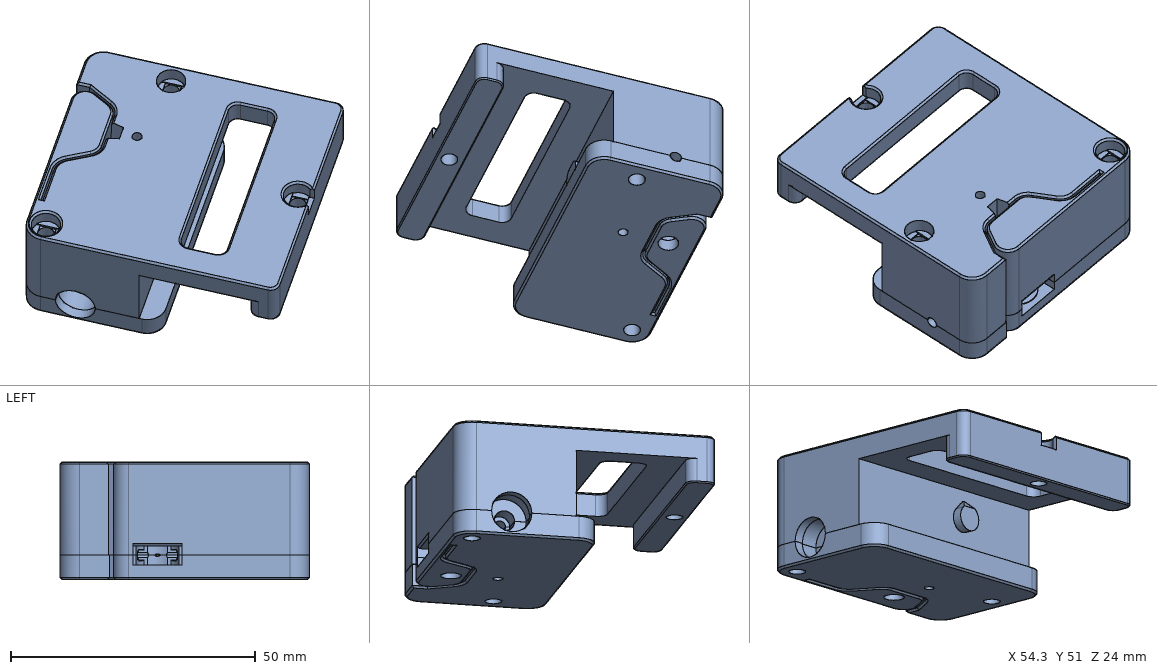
import cadquery as cq
import math

length = 54.3
width = 51.0
height = 24.0
base_height = 5.0
base_length = 29.55
body_length = 25.0
left_radius = 4.0
right_radius = 2.0
edge_chamfer = 0.45

deck_thickness = 5.0
rail_width = 6.05
rail_bottom = 13.9
rail_chamfer = 0.25

window_x = (31.65, 41.45)
window_y = (6.05, 45.05)
window_radius = 2.0

screw_hole_diameter = 3.4
screw_head_diameter = 6.0
screw_head_depth = 3.0
bridge_step = 0.2
rear_screw = (18.4, 46.9)
corner_screw = (left_radius, left_radius)
rail_screw = (51.4, width / 2)
rail_screw_mouth = 4.45

slit_width = 0.45
slit_end_y = 10.05
arm_thickness = 1.25
finger_reach = 9.3
finger_tip_radius = 3.0
finger_center_y = 31.05
finger_tip_center_y = 37.05
flank_angle = math.radians(30)
pad_radius = 3.0
arm_root_radius = 4.0
arm_root_y = 20.6
base_mouth_y = 40.9
housing_mouth_y = 41.1

channel_x = 11.4
channel_diameter = 2.4
tube_diameter = 4.2
tube_depth = 10.85
fitting_lip_diameter = 8.4
fitting_lip_depth = 2.15
fitting_diameter = 9.0
fitting_depth = 6.5

pocket_width = 10.05
pocket_depth = 3.1
pocket_bottom = 3.0
pocket_top = 7.35
pocket_lead = 0.45
bore_x = 5.85
bore_diameter = 8.75
bore_recess = 0.2
floor_hole_diameter = 4.2
groove_x = 8.65
groove_length = 8.15

notch_floor_z = 13.4
notch_end_x = 12.4
notch_floor_end_x = 12.1
notch_top_half_widths = (2.2, 1.45)
notch_floor_half_widths = (0.3, 1.1)
pin_hole_x = 15.7
pin_hole_diameter = 2.0
boss_radius = 2.7
boss_length = 2.0
boss_bottom = 10.0
boss_tip_top = 14.95


def rounded_prism(corners, bottom, top):
    """Vertical prism over a polygon; each corner is (x, y, radius)."""
    count = len(corners)
    starts = []
    middles = []
    ends = []
    for i, (x, y, radius) in enumerate(corners):
        corner = cq.Vector(x, y)
        to_last = (cq.Vector(*corners[i - 1][:2]) - corner).normalized()
        to_next = (cq.Vector(*corners[(i + 1) % count][:2]) - corner).normalized()
        half_angle = to_last.getAngle(to_next) / 2
        setback = radius / math.tan(half_angle)
        bisector = (to_last + to_next).normalized()
        starts.append(corner + to_last * setback)
        middles.append(corner + bisector * (radius / math.sin(half_angle) - radius))
        ends.append(corner + to_next * setback)
    outline = cq.Workplane("XY", origin=(0, 0, bottom)).moveTo(ends[0].x, ends[0].y)
    for i in [*range(1, count), 0]:
        outline = outline.lineTo(starts[i].x, starts[i].y)
        if corners[i][2] > 0:
            outline = outline.threePointArc((middles[i].x, middles[i].y), (ends[i].x, ends[i].y))
    return outline.close().extrude(top - bottom)


def rectangle_corners(x_range, y_range, left, right):
    """Corners of a rectangle with one radius on its left side and one on its right."""
    (x0, x1), (y0, y1) = x_range, y_range
    return [(x0, y0, left), (x1, y0, right), (x1, y1, right), (x0, y1, left)]


def cylinder(plane, center, diameter, depth):
    return cq.Workplane(plane, origin=center).circle(diameter / 2).extrude(depth)


def slit(mouth_edge):
    """Gap that frees the finger from the wall, through the full height; its mouth ends at mouth_edge."""
    slope = math.tan(flank_angle)
    tip_line = finger_tip_center_y + finger_tip_radius * (slope + 1 / math.cos(flank_angle))

    def upper_flank(x, gap):
        return tip_line + gap / math.cos(flank_angle) - x * slope

    def lower_flank(x, gap):
        return arm_root_y + (x - arm_thickness) * slope - gap / math.cos(flank_angle)

    wall_reach = finger_reach + slit_width
    arm_wall = arm_thickness + slit_width
    mouth_x = (upper_flank(0, slit_width) - mouth_edge) / slope
    opening = [
        (-slit_width, slit_end_y, 0),
        (arm_wall, slit_end_y, 0),
        (arm_wall, lower_flank(arm_wall, slit_width), arm_root_radius - slit_width),
        (wall_reach, lower_flank(wall_reach, slit_width), pad_radius + slit_width),
        (wall_reach, upper_flank(wall_reach, slit_width), pad_radius + slit_width),
        (mouth_x, mouth_edge, 0),
        (-slit_width, mouth_edge, 0),
    ]
    finger = [
        (0, 0, 0),
        (arm_thickness, 0, 0),
        (arm_thickness, arm_root_y, arm_root_radius),
        (finger_reach, lower_flank(finger_reach, 0), pad_radius),
        (finger_reach, upper_flank(finger_reach, 0), pad_radius),
        (0, upper_flank(0, 0), finger_tip_radius),
    ]
    return rounded_prism(opening, 0, height).cut(rounded_prism(finger, 0, height))


def screw_seat(center, rim_chamfer, bridge_turn):
    """Stepped hole: head recess, bridging strip, square, then the round hole."""
    x, y = center
    floor = height - screw_head_depth
    seat = cylinder("XY", (x, y, 0), screw_hole_diameter, height)
    head = cylinder("XY", (x, y, floor), screw_head_diameter, screw_head_depth)
    if rim_chamfer:
        rim = (
            cq.Workplane("XY", origin=(x, y, height)).circle(screw_head_diameter / 2 + edge_chamfer)
            .workplane(offset=-edge_chamfer).circle(screw_head_diameter / 2).loft()
        )
        head = head.union(rim)
    strip = (
        cq.Workplane("XY").box(screw_head_diameter, screw_hole_diameter, bridge_step, (True, True, False))
        .intersect(cylinder("XY", (0, 0, 0), screw_head_diameter, bridge_step))
        .rotate((0, 0, 0), (0, 0, 1), bridge_turn)
        .translate((x, y, floor - bridge_step))
    )
    square = (
        cq.Workplane("XY", origin=(x, y, floor - 2 * bridge_step))
        .rect(screw_hole_diameter, screw_hole_diameter).extrude(bridge_step)
    )
    return seat.union(head).union(strip).union(square)


def rail_screw_opening():
    """Slot from the rail screw's head recess out through the right edge."""
    x, y = rail_screw
    return cq.Workplane("XY", origin=(x, y, height - screw_head_depth)).box(
        length - x, rail_screw_mouth, screw_head_depth, (False, True, False)
    )


def filament_channel():
    """Bore along Y with a tube seat and a lipped fitting seat at the front."""
    start = (channel_x, 0, base_height)
    channel = cylinder("XZ", start, channel_diameter, -width)
    channel = channel.union(cylinder("XZ", start, tube_diameter, -tube_depth))
    lip = cylinder("XZ", start, fitting_lip_diameter, -fitting_lip_depth)
    lip_end = (channel_x, fitting_lip_depth, base_height)
    seat = cylinder("XZ", lip_end, fitting_diameter, fitting_lip_depth - fitting_depth)
    return channel.union(lip).union(seat)


def sensor_pocket():
    """Window with a sloped top edge, the round bore behind it, its floor hole and cross groove."""
    roof = pocket_top - pocket_lead
    window = (
        cq.Workplane("XZ", origin=(0, finger_center_y + pocket_width / 2, 0))
        .moveTo(0, pocket_bottom)
        .lineTo(pocket_depth, pocket_bottom)
        .lineTo(pocket_depth, roof)
        .lineTo(pocket_lead, roof)
        .lineTo(0, pocket_top)
        .close()
        .extrude(pocket_width)
    )
    floor = pocket_bottom - bore_recess
    bore = cylinder("XY", (bore_x, finger_center_y, floor), bore_diameter, roof - floor)
    floor_hole = cylinder("XY", (bore_x, finger_center_y, 0), floor_hole_diameter, pocket_bottom)
    throat = cq.Workplane("XY", origin=(0, finger_center_y, pocket_bottom)).box(
        bore_x, bore_diameter, roof - pocket_bottom, (False, True, False)
    )
    groove_start = (groove_x, finger_center_y - groove_length / 2, base_height)
    groove = cylinder("XZ", groove_start, channel_diameter, -groove_length)
    return window.union(throat).union(bore).union(floor_hole).union(groove)


def notch():
    """Pocket in the wall facing the finger's pad, narrowing toward its floor."""
    mouth_x = finger_reach + slit_width / 2

    def section(end_x, half_widths):
        wide, narrow = half_widths
        return [(mouth_x, -wide), (end_x, -narrow), (end_x, narrow), (mouth_x, wide)]

    return (
        cq.Workplane("XY", origin=(0, finger_center_y, height))
        .polyline(section(notch_end_x, notch_top_half_widths)).close()
        .workplane(offset=notch_floor_z - height)
        .polyline(section(notch_floor_end_x, notch_floor_half_widths)).close()
        .loft(ruled=True)
    )


def boss():
    """Teardrop boss on the right face of the body, its tip cut back at 45 degrees."""
    center_z = boss_bottom + boss_radius
    shoulder = boss_radius * math.sqrt(0.5)
    tip_x = body_length + boss_length
    teardrop = (
        cq.Workplane("YZ", origin=(body_length, finger_center_y, center_z))
        .moveTo(-shoulder, shoulder)
        .threePointArc((0, -boss_radius), (shoulder, shoulder))
        .lineTo(0, 2 * shoulder)
        .close()
        .extrude(boss_length)
    )
    tip_cut = (
        cq.Workplane("XZ", origin=(0, finger_center_y + boss_radius, 0))
        .moveTo(tip_x, boss_tip_top)
        .lineTo(tip_x, boss_tip_top + boss_length)
        .lineTo(body_length, boss_tip_top + boss_length)
        .close()
        .extrude(2 * boss_radius)
    )
    return teardrop.cut(tip_cut)


def shared_cuts():
    """Openings that pass through both bodies."""
    pin_hole = cylinder("XY", (pin_hole_x, finger_center_y, 0), pin_hole_diameter, height)
    return filament_channel().union(sensor_pocket()).union(pin_hole)


def make_housing():
    y_range = (0, width)
    deck_bottom = height - deck_thickness
    deck = rounded_prism(
        rectangle_corners((0, length), y_range, left_radius, right_radius), deck_bottom, height
    )
    body = rounded_prism(
        rectangle_corners((0, body_length), y_range, left_radius, 0), base_height, height
    )
    rail = rounded_prism(
        rectangle_corners((length - rail_width, length), y_range, right_radius, right_radius),
        rail_bottom, height - edge_chamfer,
    ).faces("<Z").chamfer(rail_chamfer)
    window = rounded_prism(
        rectangle_corners(window_x, window_y, window_radius, window_radius), deck_bottom, height
    )
    housing = deck.union(body).cut(window).cut(slit(housing_mouth_y))
    housing = housing.faces(">Z").chamfer(edge_chamfer)
    housing = housing.union(rail).union(boss())
    housing = housing.cut(screw_seat(rear_screw, False, 0))
    housing = housing.cut(screw_seat(corner_screw, True, 0))
    housing = housing.cut(screw_seat(rail_screw, True, 90))
    return housing.cut(rail_screw_opening()).cut(notch()).cut(shared_cuts())


def make_base():
    base = rounded_prism(
        rectangle_corners((0, base_length), (0, width), left_radius, left_radius), 0, base_height
    )
    base = base.cut(slit(base_mouth_y)).faces("<Z").chamfer(edge_chamfer)
    for x, y in (rear_screw, corner_screw):
        base = base.cut(cylinder("XY", (x, y, 0), screw_hole_diameter, base_height))
    return base.cut(shared_cuts())


housing = make_housing()
base = make_base()
result = cq.Compound.makeCompound([housing.val(), base.val()])